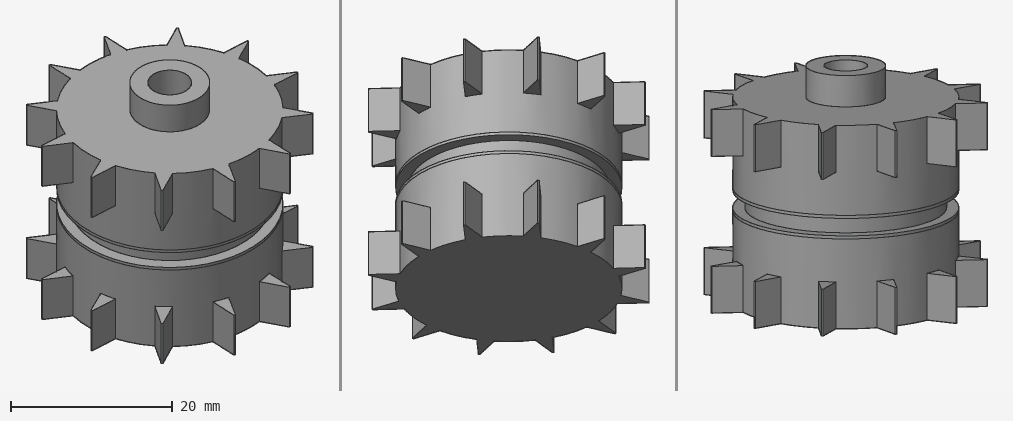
import cadquery as cq
import math

tip_diameter = 35.45
drum_diameter = 28.0
drum_height = 26.0
tooth_count = 12
tooth_height = 6.0
tooth_root_width = 2.2
tooth_tip_width = 0.2
tip_radius = tip_diameter / 2
drum_radius = drum_diameter / 2
tooth_step = 360 / tooth_count

hub_diameter = 9.9
hub_height = 4.0
bore_diameter = 5.4

core_diameter = 18.0
groove_diameter = 25.0
ring_height = 3.0
flange_thickness = 0.4
ring_bottom = (drum_height - ring_height) / 2
groove_height = ring_height - 2 * flange_thickness


def make_tube(outer_diameter, inner_diameter, bottom, height):
    """Tube around the Z axis, standing on the given height."""
    return (
        cq.Workplane("XY", origin=(0, 0, bottom))
        .circle(outer_diameter / 2)
        .circle(inner_diameter / 2)
        .extrude(height)
    )


def make_tooth():
    """One tapered tooth along +X, with its base at Z = 0 and its inner end buried in the drum."""
    root_y = tooth_root_width / 2
    root_x = math.sqrt(drum_radius**2 - root_y**2)
    tip_y = tooth_tip_width / 2
    buried_x = core_diameter / 2
    outline = [
        (buried_x, -root_y),
        (root_x, -root_y),
        (tip_radius, -tip_y),
        (tip_radius, tip_y),
        (root_x, root_y),
        (buried_x, root_y),
    ]
    return cq.Workplane("XY").polyline(outline).close().extrude(tooth_height)


def make_roller():
    """Drum with two rows of teeth, a bored hub and a channel for the ring."""
    roller = cq.Workplane("XY").circle(drum_radius).extrude(drum_height)
    tooth = make_tooth()
    for row_bottom in (0, drum_height - tooth_height):
        for index in range(tooth_count):
            turned_tooth = tooth.rotate((0, 0, 0), (0, 0, 1), index * tooth_step)
            roller = roller.union(turned_tooth.translate((0, 0, row_bottom)))

    hub = make_tube(hub_diameter, bore_diameter, drum_height, hub_height)
    channel = make_tube(drum_diameter, core_diameter, ring_bottom, ring_height)
    return roller.union(hub).cut(channel)


def make_ring():
    """Ring around the core, flush with the drum, with a groove between two thin flanges."""
    ring = make_tube(drum_diameter, core_diameter, ring_bottom, ring_height)
    groove = make_tube(drum_diameter, groove_diameter, ring_bottom + flange_thickness, groove_height)
    return ring.cut(groove)


roller = make_roller()
ring = make_ring()

result = cq.Compound.makeCompound([roller.val(), ring.val()])